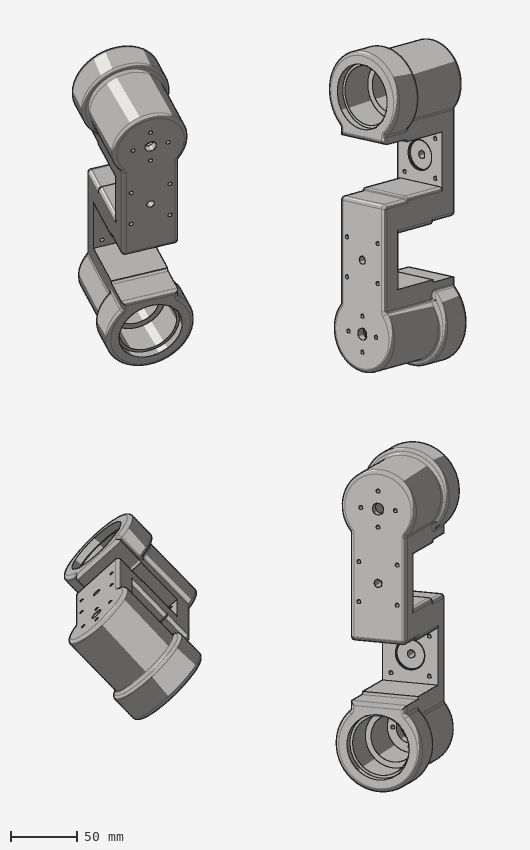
import cadquery as cq
import math

length_x = 80.0
length_z = 254.5
half_x = length_x / 2

collar_diameter = 70.0
collar_radius = collar_diameter / 2
barrel_radius = 30.0
joint_z = length_z / 2 - collar_radius
step_x = 14.8

arm_width = 45.0
arm_half = arm_width / 2
web_thickness = 15.0
web_inner_x = half_x - web_thickness
gap_top_barrel = 56.5
gap_top_collar = 58.5
block_high = 13.5
block_low = 11.5

edge_radius = 3.0
step_crest_radius = 1.3
step_valley_radius = 0.64
notch_radius = 1.8

margin = 0.13

hub_floor = 6.0

collar_bore = (50.5, 6.0)
main_bore = (46.0, 31.8)
floor_recess = (37.0, length_x - web_thickness)
hub_recess = (22.5, length_x - hub_floor)
shaft_hole_diameter = 9.0

screw_hole_diameter = 3.0
shaft_screw_offset = 14.0

web_hole_spacing = 69.5
web_hole_z = web_hole_spacing / 2
web_hole_diameter = 6.0
web_recess_diameter = 23.0
web_recess_depth = 2.0
web_recess_chamfer = 0.5
web_screw_offset = 15.5


def box_between(x0, x1, z0, z1):
    """Box of the arm width, centred on Y."""
    centre = ((x0 + x1) / 2, 0, (z0 + z1) / 2)
    return cq.Workplane("XY").box(x1 - x0, arm_width, z1 - z0).translate(centre)


def x_cylinder(diameter, x0, x1, y, z):
    """Cylinder along X from x0 to x1."""
    return cq.Workplane("YZ", origin=(x0, y, z)).circle(diameter / 2).extrude(x1 - x0)


def turned_over(body):
    """Copy turned half a turn about Y, which is the symmetry of the part."""
    return body.rotate((0, 0, 0), (0, 1, 0), 180)


def housing_shell():
    """Turned collar and barrel, joined by a rounded shoulder and an equal hollow."""
    shoulder_radius = (collar_radius - barrel_radius) / 2
    shoulder_x = -step_x - shoulder_radius
    hollow_x = -step_x + shoulder_radius
    mid_radius = barrel_radius + shoulder_radius
    bulge = shoulder_radius * math.sqrt(0.5)
    profile = (
        cq.Workplane("XY")
        .moveTo(-half_x, 0)
        .lineTo(-half_x, collar_radius)
        .lineTo(shoulder_x, collar_radius)
        .threePointArc((shoulder_x + bulge, mid_radius + bulge), (-step_x, mid_radius))
        .threePointArc((hollow_x - bulge, mid_radius - bulge), (hollow_x, barrel_radius))
        .lineTo(half_x, barrel_radius)
        .lineTo(half_x, 0)
        .close()
    )
    return profile.revolve(360, (0, 0, 0), (1, 0, 0)).translate((0, 0, joint_z))


def housing():
    """Housing with its flat-sided foot, blended where foot and shell meet."""
    foot = box_between(-half_x, half_x, gap_top_barrel, joint_z)
    notch = box_between(-half_x, -step_x, gap_top_barrel, gap_top_collar)
    notch = notch.edges(">X and >Z").fillet(notch_radius)
    body = housing_shell().union(foot).cut(notch)
    seam_edges = cq.selectors.BoxSelector(
        (-half_x - margin, -arm_half - margin, gap_top_collar + margin),
        (half_x + margin, arm_half + margin, joint_z - margin),
    )
    return body.edges(seam_edges).edges("not(<X or >X)").fillet(edge_radius)


def web():
    """Plate that carries the motor and ties the housing to the centre block."""
    return box_between(web_inner_x, half_x, 0, gap_top_collar)


def raised_half_block():
    """Half of the centre block, raised on the side that faces a barrel."""
    low = box_between(-half_x, half_x, 0, block_low).edges("|X and >Z").fillet(edge_radius)
    high = box_between(-step_x, half_x, 0, block_high).edges("|X and >Z").fillet(edge_radius)
    high = high.edges("<X and >Z").fillet(step_crest_radius)
    block = low.union(high)
    step_corner = cq.selectors.BoxSelector(
        (-step_x - margin, -arm_half, block_low - margin), (-step_x + margin, arm_half, block_low + margin)
    )
    return block.edges(step_corner).fillet(step_valley_radius)


def housing_cutter():
    """Stepped bore, shaft hole and shaft screw holes of a housing."""
    cutter = x_cylinder(shaft_hole_diameter, -half_x, half_x, 0, joint_z)
    for diameter, depth in (collar_bore, main_bore, floor_recess, hub_recess):
        cutter = cutter.union(x_cylinder(diameter, -half_x, depth - half_x, 0, joint_z))
    for dy, dz in ((1, 0), (-1, 0), (0, 1), (0, -1)):
        y = dy * shaft_screw_offset
        z = joint_z + dz * shaft_screw_offset
        cutter = cutter.union(x_cylinder(screw_hole_diameter, -half_x, half_x, y, z))
    return cutter


def web_cutter():
    """Shaft hole, pilot recess and four screw holes of a web."""
    recess_floor_x = web_inner_x + web_recess_depth
    cutter = x_cylinder(web_hole_diameter, web_inner_x, half_x, 0, web_hole_z)
    recess = x_cylinder(web_recess_diameter, web_inner_x, recess_floor_x, 0, web_hole_z)
    mouth_radius = web_recess_diameter / 2 + web_recess_chamfer
    mouth = cq.Workplane("YZ", origin=(web_inner_x, 0, web_hole_z)).circle(mouth_radius)
    mouth = mouth.extrude(web_recess_chamfer, taper=45)
    cutter = cutter.union(recess).union(mouth)
    for dy in (-1, 1):
        for dz in (-1, 1):
            y = dy * web_screw_offset
            z = web_hole_z + dz * web_screw_offset
            cutter = cutter.union(x_cylinder(screw_hole_diameter, web_inner_x, half_x, y, z))
    return cutter


half_body = housing().union(web()).union(raised_half_block())
body = half_body.union(turned_over(half_body))
body = body.faces("<X or >X").edges().fillet(edge_radius)

half_cutter = housing_cutter().union(web_cutter())
result = body.cut(half_cutter).cut(turned_over(half_cutter))